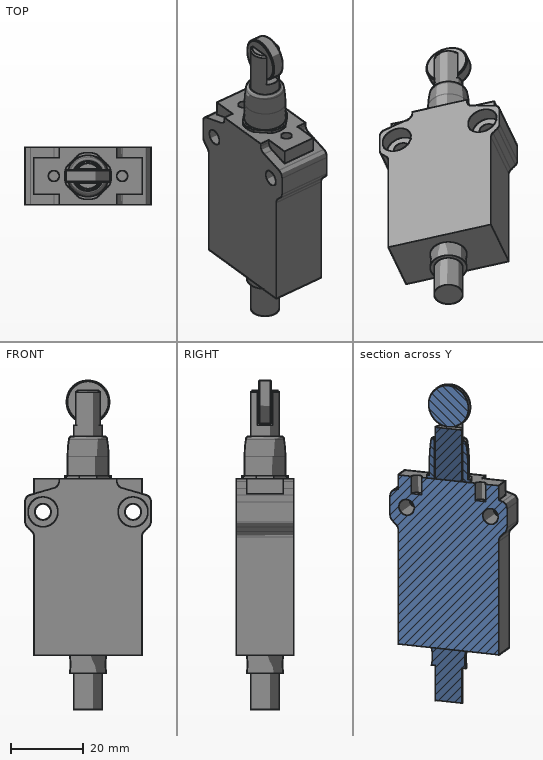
import cadquery as cq
import math


body_width = 30.0
depth = 16.0
housing_height = 49.0
ear_width = 35.0
ear_blend_radius = 2.0
ear_top_z = 42.6
ear_bottom_z = 37.1
shoulder_half_width = 8.0
shoulder_slope = 16.0
undercut_slope = 45.0
top_block_depth = 10.2

mount_hole_spacing = 25.0
mount_hole_z = 39.8
mount_hole_diameter = 4.4
counterbore_diameter = 8.3
counterbore_depth = 4.0
top_hole_spacing = 19.0
top_hole_diameter = 3.0
top_hole_depth = 5.0

flange_thickness = 0.8
flange_across_flats = 12.0
flange_diameter = 13.0
sleeve_diameter = 11.5
sleeve_top_z = 60.75
sleeve_straight_top_z = 55.3
sleeve_shoulder_diameter = 10.6
sleeve_rim_radius = 0.75
sleeve_bore_diameter = 8.4

plunger_diameter = 8.0
plunger_top_z = 73.5
plunger_tip_chamfer = 0.5
fork_width = 7.0
fork_bottom_z = 63.9
fork_slot = 4.1

roller_diameter = 12.0
roller_thickness = 3.6
roller_chamfer = 0.3
roller_gap = 0.4

cable_diameter = 8.0
boot_length = 5.0
boot_diameter = 10.2
boot_waist = 0.2

total_height = 91.4
roller_center_z = fork_bottom_z + roller_gap + roller_diameter / 2
cable_end_z = roller_center_z + roller_diameter / 2 - total_height


def on_circle(center, radius, degrees):
    """Point on a circle in the XZ plane, as (x, z)."""
    angle = math.radians(degrees)
    return (center[0] + radius * math.cos(angle), center[1] + radius * math.sin(angle))


def half_housing():
    """The x > 0 half of the housing, with its ear, extruded through the full depth."""
    r = ear_blend_radius
    half_body = body_width / 2
    half_ear = ear_width / 2
    slope = math.radians(shoulder_slope)

    upper = (half_ear - r, ear_top_z)
    lower = (half_ear - r, ear_bottom_z)
    upper_normal = 90 - shoulder_slope
    upper_start = on_circle(upper, r, upper_normal)

    notch_x = shoulder_half_width + r
    notch_end_x = notch_x - r * math.sin(slope)
    notch_end_z = upper_start[1] + (upper_start[0] - notch_end_x) * math.tan(slope)
    notch = (notch_x, notch_end_z + r * math.cos(slope))

    undercut_start = on_circle(lower, r, -undercut_slope)
    waist_x = half_body + r
    undercut_end_x = waist_x - r * math.cos(math.radians(undercut_slope))
    undercut_drop = (undercut_start[0] - undercut_end_x) * math.tan(math.radians(undercut_slope))
    undercut_end_z = undercut_start[1] - undercut_drop
    waist = (waist_x, undercut_end_z - r * math.sin(math.radians(undercut_slope)))

    return (
        cq.Workplane("XZ")
        .moveTo(0, 0)
        .lineTo(half_body, 0)
        .lineTo(half_body, waist[1])
        .threePointArc(on_circle(waist, r, 180 - undercut_slope / 2), (undercut_end_x, undercut_end_z))
        .lineTo(*undercut_start)
        .threePointArc(on_circle(lower, r, -undercut_slope / 2), (half_ear, ear_bottom_z))
        .lineTo(half_ear, ear_top_z)
        .threePointArc(on_circle(upper, r, upper_normal / 2), upper_start)
        .lineTo(notch_end_x, notch_end_z)
        .threePointArc(on_circle(notch, r, 180 + upper_normal / 2), (shoulder_half_width, notch[1]))
        .lineTo(shoulder_half_width, housing_height)
        .lineTo(0, housing_height)
        .close()
        .extrude(depth / 2, both=True)
    )


def make_housing():
    half = half_housing()
    block = cq.Workplane("XY").box(
        body_width, top_block_depth, housing_height, centered=(True, True, False)
    )
    housing = half.union(half.mirror("YZ")).union(block)

    mount_points = [(side * mount_hole_spacing / 2, mount_hole_z) for side in (-1, 1)]
    front_face = cq.Workplane("XZ", origin=(0, -depth / 2, 0)).pushPoints(mount_points)
    mount_holes = front_face.circle(mount_hole_diameter / 2).extrude(-depth)
    counterbores = front_face.circle(counterbore_diameter / 2).extrude(-counterbore_depth)

    top_holes = (
        cq.Workplane("XY", origin=(0, 0, housing_height))
        .pushPoints([(side * top_hole_spacing / 2, 0) for side in (-1, 1)])
        .circle(top_hole_diameter / 2)
        .extrude(-top_hole_depth)
    )
    return housing.cut(mount_holes).cut(counterbores).cut(top_holes)


def make_bushing():
    """Square flange with rounded corners, turned 45 degrees, under a bored sleeve."""
    base = cq.Workplane("XY", origin=(0, 0, housing_height))
    square = (
        base.rect(flange_across_flats, flange_across_flats)
        .extrude(flange_thickness)
        .rotate((0, 0, 0), (0, 0, 1), 45)
    )
    flange = square.intersect(base.circle(flange_diameter / 2).extrude(flange_thickness))

    shoulder_radius = sleeve_shoulder_diameter / 2
    shoulder_z = sleeve_top_z - sleeve_rim_radius
    rim_center = (shoulder_radius - sleeve_rim_radius, shoulder_z)
    bore_radius = sleeve_bore_diameter / 2
    sleeve = (
        cq.Workplane("XZ")
        .moveTo(bore_radius, housing_height)
        .lineTo(sleeve_diameter / 2, housing_height)
        .lineTo(sleeve_diameter / 2, sleeve_straight_top_z)
        .tangentArcPoint((shoulder_radius, shoulder_z), relative=False)
        .threePointArc(
            on_circle(rim_center, sleeve_rim_radius, 45),
            (rim_center[0], sleeve_top_z),
        )
        .lineTo(bore_radius, sleeve_top_z)
        .close()
        .revolve(360, (0, 0, 0), (0, 1, 0))
    )
    sleeve_bore = base.circle(bore_radius).extrude(flange_thickness)
    return flange.union(sleeve).cut(sleeve_bore)


def make_plunger():
    """Round stem with a flat-sided, slotted fork at its tip."""
    stem = (
        cq.Workplane("XY", origin=(0, 0, housing_height))
        .circle(plunger_diameter / 2)
        .extrude(plunger_top_z - housing_height)
        .faces(">Z")
        .chamfer(plunger_tip_chamfer)
    )
    fork_height = plunger_top_z - fork_bottom_z
    fork_base = cq.Workplane("XY", origin=(0, 0, fork_bottom_z))
    cheeks = (
        fork_base.rect(fork_width, plunger_diameter)
        .extrude(fork_height)
        .cut(fork_base.rect(fork_width, fork_slot).extrude(fork_height))
    )
    fork_zone = fork_base.rect(plunger_diameter, plunger_diameter).extrude(fork_height)
    return stem.cut(fork_zone.cut(cheeks))


def make_roller():
    return (
        cq.Workplane("XZ", origin=(0, roller_thickness / 2, roller_center_z))
        .circle(roller_diameter / 2)
        .extrude(roller_thickness)
        .faces("<Y or >Y")
        .chamfer(roller_chamfer)
    )


def make_cable():
    """Cable with a slightly waisted boot against the underside of the housing."""
    boot_radius = boot_diameter / 2
    return (
        cq.Workplane("XZ")
        .moveTo(0, 0)
        .lineTo(boot_radius, 0)
        .threePointArc((boot_radius - boot_waist, -boot_length / 2), (boot_radius, -boot_length))
        .lineTo(cable_diameter / 2, -boot_length)
        .lineTo(cable_diameter / 2, cable_end_z)
        .lineTo(0, cable_end_z)
        .close()
        .revolve(360, (0, 0, 0), (0, 1, 0))
    )


housing = make_housing()
bushing = make_bushing()
plunger = make_plunger()
roller = make_roller()
cable = make_cable()

result = cq.Compound.makeCompound(
    [housing.val(), bushing.val(), plunger.val(), roller.val(), cable.val()]
)